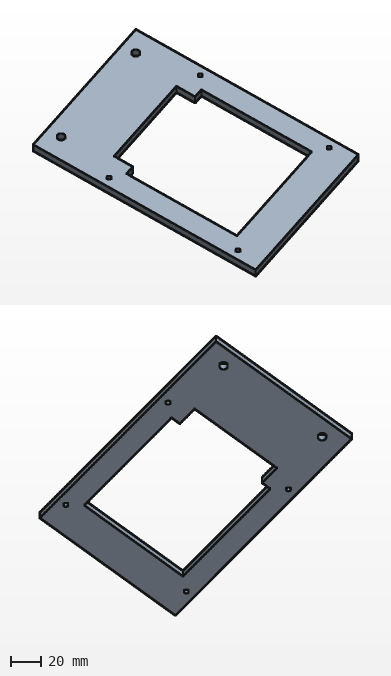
import cadquery as cq

LENGTH = 180.8
WIDTH = 118.0
THICKNESS = 7.0

WINDOW_CENTER_X = 19.0
WINDOW_LENGTH = 89.5
WINDOW_WIDTH = 85.7
EXTENSION_LENGTH = 15.2
EXTENSION_WIDTH = 71.5

SMALL_HOLE_DIAMETER = 3.0
SMALL_HOLE_PITCH = 104.7

LARGE_HOLE_DIAMETER = 5.6
LARGE_HOLE_EDGE_DISTANCE = 11.4
LARGE_HOLE_PITCH = WINDOW_WIDTH


def through_box(x_min, x_max, width):
    """Cutting block through the plate, symmetric about the X axis."""
    length = x_max - x_min
    return (
        cq.Workplane("XY")
        .center((x_min + x_max) / 2, 0)
        .rect(length, width)
        .extrude(THICKNESS)
    )


def through_holes(points, diameter):
    """Cutting cylinders through the plate."""
    return cq.Workplane("XY").pushPoints(points).circle(diameter / 2).extrude(THICKNESS)


plate = cq.Workplane("XY").box(LENGTH, WIDTH, THICKNESS, centered=(True, True, False))

window_left = WINDOW_CENTER_X - WINDOW_LENGTH / 2
window_right = WINDOW_CENTER_X + WINDOW_LENGTH / 2
window = through_box(window_left, window_right, WINDOW_WIDTH)
extension = through_box(window_left - EXTENSION_LENGTH, window_right, EXTENSION_WIDTH)

half_pitch = SMALL_HOLE_PITCH / 2
small_hole_points = [
    (WINDOW_CENTER_X + x_offset, y)
    for x_offset in (-half_pitch, half_pitch)
    for y in (-half_pitch, half_pitch)
]
small_holes = through_holes(small_hole_points, SMALL_HOLE_DIAMETER)

large_hole_x = -LENGTH / 2 + LARGE_HOLE_EDGE_DISTANCE
large_hole_points = [(large_hole_x, side * LARGE_HOLE_PITCH / 2) for side in (-1, 1)]
large_holes = through_holes(large_hole_points, LARGE_HOLE_DIAMETER)

result = plate.cut(window).cut(extension).cut(small_holes).cut(large_holes)